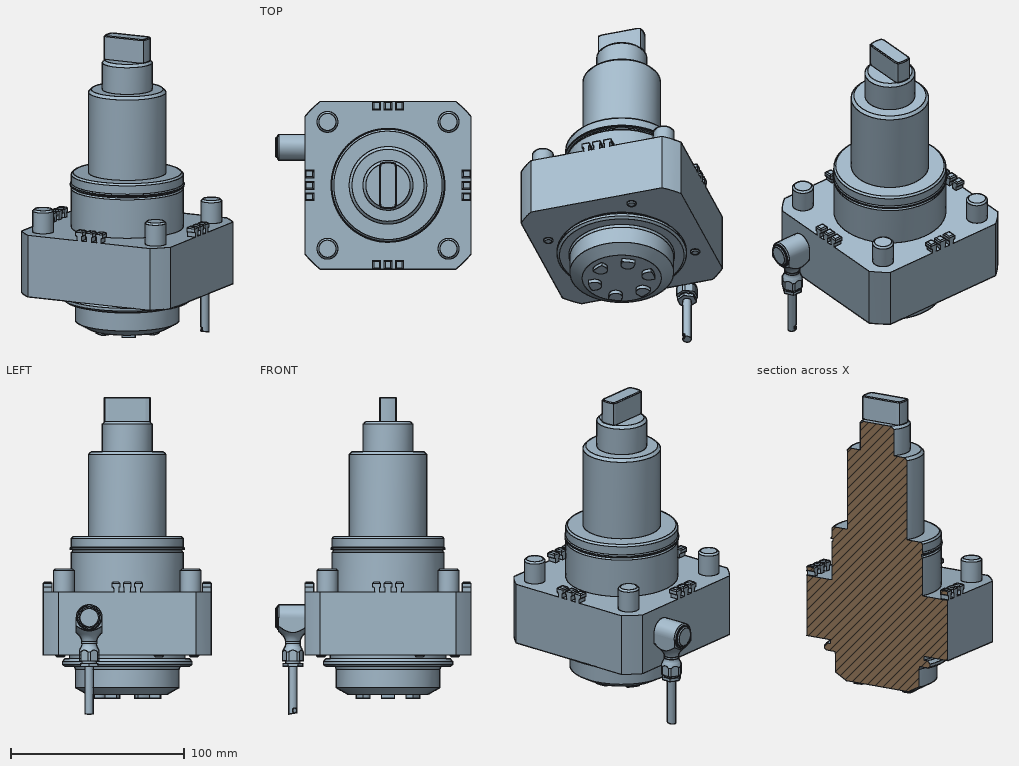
import cadquery as cq
import math


housing_x = 96.0
housing_y = 97.0
housing_height = 36.5
corner_diameter = 124.7

collar_top = 32.0
collar_diameter = 64.8
collar_chamfer = 1.1
sleeve_top = 81.1
sleeve_diameter = 44.9
shaft_top = 98.5
shaft_diameter = 29.0
shoulder_chamfer = 1.6
tang_top = 112.5
tang_width = 9.7
tang_length = 27.0
tang_flat_length = 21.6
tang_end_width = 8.6
tang_top_chamfer = 0.5

seal_top = 25.3
seal_slope_top = 26.0
seal_bottom = 24.5
seal_diameter = 66.0
groove_bottom = 23.6
groove_diameter = 63.4
groove_chamfer_bottom = 22.7

neck_diameter = 67.0
flange_top = -38.5
flange_bottom = -43.0
flange_diameter = 74.9
flange_edge_diameter = 72.0
flange_top_chamfer = 1.8
flange_bottom_chamfer = 1.1
nose_lip_diameter = 61.2
nose_lip_bottom = -44.7
nose_diameter = 60.0
nose_cone_top = -55.3
nose_bottom = -59.3
nose_end_diameter = 45.8

dog_count = 6
dog_width = 7.7
dog_height = 2.2
dog_round_radius = 16.3
dog_outer_diameter = 38.8

pin_x = 35.0
pin_y = 36.6
pin_diameter = 12.0
pin_height = 13.4
pin_chamfer = 1.1

screw_diameter = 5.5
screw_height = 1.1
screw_chamfer = 0.7
screw_spots = [(18.3, -38.6), (38.6, 18.3), (-18.3, 38.6), (-38.6, -18.3)]

key_width = 4.5
key_pitch = 6.6
key_depth = 5.1
key_height = 5.7
key_head_bottom = 3.0
key_small_inset = 0.5
key_large_inset = 1.1
key_chamfer = 0.7

cable_x = -55.0
cable_y = 22.0
elbow_z = -14.8
elbow_diameter = 15.0
elbow_end_x = -63.7
elbow_chamfer = 0.7
cap_diameter = 12.0
cap_length = 1.3
cap_chamfer = 0.7
elbow_half_length = 8.5
elbow_cone_tip = -24.7
elbow_cone_radius = 6.2
connector_neck_radius = 4.2
connector_ring_radius = 4.4
connector_ring_top = -28.5
connector_ring_bottom = -29.8
nut_top = -32.6
nut_top_radius = 5.1
nut_bottom = -39.7
nut_diameter = 12.0
nut_flats = 11.2
nut_chamfer_height = 2.0
washer_top = -41.2
washer_bottom = -43.0
washer_flats = 9.9
cable_diameter = 5.0
cable_bottom = tang_top - 183.1
cable_end_slant = 1.0
cable_hole_diameter = 3.0
cable_hole_depth = 1.0
cable_hole_height = 2.2
cable_hole_angle = -55.0


def rod(diameter, z_low, z_high):
    return cq.Workplane("XY").workplane(offset=z_low).circle(diameter / 2).extrude(z_high - z_low)


def make_housing():
    block = cq.Workplane("XY").box(housing_x, housing_y, housing_height, centered=(True, True, False))
    block = block.translate((0, 0, -housing_height))
    return block.intersect(rod(corner_diameter, -housing_height, 0))


def make_spindle():
    sleeve = rod(sleeve_diameter, 0, sleeve_top).faces(">Z").chamfer(shoulder_chamfer)
    shaft = rod(shaft_diameter, 0, shaft_top).faces(">Z").chamfer(shoulder_chamfer)
    collar_radius = collar_diameter / 2
    collar = (
        cq.Workplane("XZ")
        .moveTo(0, 0)
        .lineTo(collar_radius, 0)
        .lineTo(collar_radius, groove_chamfer_bottom)
        .lineTo(groove_diameter / 2, groove_bottom)
        .lineTo(groove_diameter / 2, seal_bottom)
        .lineTo(seal_diameter / 2, seal_bottom)
        .lineTo(seal_diameter / 2, seal_top)
        .lineTo(collar_radius, seal_slope_top)
        .lineTo(collar_radius, collar_top - collar_chamfer)
        .lineTo(collar_radius - collar_chamfer, collar_top)
        .lineTo(0, collar_top)
        .close()
        .revolve(360, (0, 0, 0), (0, 1, 0))
    )
    return collar.union(sleeve).union(shaft)


def make_tang():
    tip = tang_length / 2
    end_x = tang_end_width / 2
    end_y = math.sqrt(tip**2 - end_x**2)
    flat_x = tang_width / 2
    flat_y = tang_flat_length / 2
    tang = (
        cq.Workplane("XY")
        .workplane(offset=shaft_top)
        .moveTo(flat_x, -flat_y)
        .lineTo(flat_x, flat_y)
        .lineTo(end_x, end_y)
        .threePointArc((0, tip), (-end_x, end_y))
        .lineTo(-flat_x, flat_y)
        .lineTo(-flat_x, -flat_y)
        .lineTo(-end_x, -end_y)
        .threePointArc((0, -tip), (end_x, -end_y))
        .close()
    )
    return tang.extrude(tang_top - shaft_top).faces(">Z").chamfer(tang_top_chamfer)


def make_nose():
    return (
        cq.Workplane("XZ")
        .moveTo(0, -housing_height)
        .lineTo(neck_diameter / 2, -housing_height)
        .lineTo(neck_diameter / 2, flange_top)
        .lineTo(flange_edge_diameter / 2, flange_top)
        .lineTo(flange_diameter / 2, flange_top - flange_top_chamfer)
        .lineTo(flange_diameter / 2, flange_bottom + flange_bottom_chamfer)
        .lineTo(flange_edge_diameter / 2, flange_bottom)
        .lineTo(nose_lip_diameter / 2, flange_bottom)
        .lineTo(nose_diameter / 2, nose_lip_bottom)
        .lineTo(nose_diameter / 2, nose_cone_top)
        .lineTo(nose_end_diameter / 2, nose_bottom)
        .lineTo(0, nose_bottom)
        .close()
        .revolve(360, (0, 0, 0), (0, 1, 0))
    )


def make_dogs():
    base = nose_bottom - dog_height
    reach = dog_outer_diameter / 2 - dog_round_radius
    one = rod(dog_width, base, nose_bottom).translate((0, -dog_round_radius, 0))
    body = cq.Workplane("XY").box(dog_width, reach, dog_height, centered=(True, False, False))
    one = one.union(body.translate((0, -dog_round_radius - reach, base)))
    one = one.intersect(rod(dog_outer_diameter, base, nose_bottom))
    dogs = one
    for i in range(1, dog_count):
        dogs = dogs.union(one.rotate((0, 0, 0), (0, 0, 1), i * 360 / dog_count))
    return dogs


def make_pins():
    pins = cq.Workplane("XY").rect(2 * pin_x, 2 * pin_y, forConstruction=True).vertices()
    return pins.circle(pin_diameter / 2).extrude(pin_height).faces(">Z").chamfer(pin_chamfer)


def make_screws():
    heads = cq.Workplane("XY").workplane(offset=-housing_height).pushPoints(screw_spots)
    return heads.circle(screw_diameter / 2).extrude(-screw_height).faces("<Z").chamfer(screw_chamfer)


def make_key(left_inset, right_inset):
    half = key_width / 2
    bend = math.sqrt(0.5)
    key = (
        cq.Workplane("XZ")
        .moveTo(left_inset - half, 0)
        .lineTo(left_inset - half, key_head_bottom - left_inset)
        .threePointArc(
            (bend * left_inset - half, key_head_bottom - (1 - bend) * left_inset),
            (-half, key_head_bottom),
        )
        .lineTo(-half, key_height)
        .lineTo(half, key_height)
        .lineTo(half, key_head_bottom)
        .threePointArc(
            (half - bend * right_inset, key_head_bottom - (1 - bend) * right_inset),
            (half - right_inset, key_head_bottom - right_inset),
        )
        .lineTo(half - right_inset, 0)
        .close()
        .extrude(-key_depth)
    )
    return key.faces(">Z").chamfer(key_chamfer)


def make_key_row():
    row = make_key(key_small_inset, key_small_inset)
    row = row.union(make_key(key_large_inset, key_small_inset).translate((-key_pitch, 0, 0)))
    return row.union(make_key(key_small_inset, key_large_inset).translate((key_pitch, 0, 0)))


def make_keys():
    keys = cq.Workplane("XY")
    for i in range(4):
        edge = housing_y / 2 if i % 2 == 0 else housing_x / 2
        row = make_key_row().translate((0, -edge, 0))
        keys = keys.add(row.rotate((0, 0, 0), (0, 0, 1), 90 * i))
    return keys.combine()


def make_hexagon(flats, z_low, z_high):
    corners = flats / math.cos(math.pi / 6)
    return cq.Workplane("XY").workplane(offset=z_low).polygon(6, corners).extrude(z_high - z_low)


def make_elbow():
    radius = elbow_diameter / 2
    barrel = cq.Workplane("YZ").circle(radius).extrude(-elbow_end_x - housing_x / 2)
    barrel = barrel.faces("<X").chamfer(elbow_chamfer)
    cap = cq.Workplane("YZ").circle(cap_diameter / 2).extrude(-cap_length)
    barrel = barrel.union(cap.faces("<X").chamfer(cap_chamfer))
    barrel = barrel.translate((elbow_end_x - cable_x, 0, elbow_z))
    drop = elbow_z - connector_ring_top
    skirt = cq.Workplane("XY").box(2 * elbow_half_length, elbow_diameter, drop)
    skirt = skirt.translate((0, 0, elbow_z - drop / 2))
    cone_top_radius = elbow_cone_radius + elbow_z - elbow_cone_tip
    taper = (
        cq.Workplane("XZ")
        .moveTo(0, elbow_z)
        .lineTo(cone_top_radius, elbow_z)
        .lineTo(elbow_cone_radius, elbow_cone_tip)
        .tangentArcPoint((connector_neck_radius, connector_ring_top), relative=False)
        .lineTo(0, connector_ring_top)
        .close()
        .revolve(360, (0, 0, 0), (0, 1, 0))
    )
    return barrel.union(skirt.intersect(taper))


def make_nut():
    radius = nut_diameter / 2
    turned = (
        cq.Workplane("XZ")
        .moveTo(0, nut_top)
        .lineTo(nut_top_radius, nut_top)
        .lineTo(radius, nut_top - nut_chamfer_height)
        .lineTo(radius, nut_bottom)
        .lineTo(0, nut_bottom)
        .close()
        .revolve(360, (0, 0, 0), (0, 1, 0))
    )
    return turned.intersect(make_hexagon(nut_flats, nut_bottom, nut_top))


def make_neck():
    middle = (connector_neck_radius * 3 + nut_top_radius) / 4
    flare = (
        cq.Workplane("XZ")
        .moveTo(0, connector_ring_bottom)
        .lineTo(connector_neck_radius, connector_ring_bottom)
        .threePointArc((middle, (connector_ring_bottom + nut_top) / 2), (nut_top_radius, nut_top))
        .lineTo(0, nut_top)
        .close()
        .revolve(360, (0, 0, 0), (0, 1, 0))
    )
    ring = rod(2 * connector_ring_radius, connector_ring_bottom, connector_ring_top)
    return flare.union(ring).union(rod(2 * connector_neck_radius, washer_top, nut_bottom))


def make_cable():
    radius = cable_diameter / 2
    cable = (
        cq.Workplane("XZ", origin=(0, radius, 0))
        .moveTo(-radius, washer_bottom)
        .lineTo(-radius, cable_bottom)
        .lineTo(radius, cable_bottom + cable_end_slant)
        .lineTo(radius, washer_bottom)
        .close()
        .extrude(cable_diameter)
        .intersect(rod(cable_diameter, cable_bottom, washer_bottom))
    )
    hole = cq.Workplane("YZ").circle(cable_hole_diameter / 2).extrude(radius)
    hole = hole.translate((radius - cable_hole_depth, 0, cable_bottom + cable_hole_height))
    return cable.cut(hole.rotate((0, 0, 0), (0, 0, 1), cable_hole_angle))


def make_connector():
    connector = make_elbow().union(make_neck()).union(make_nut())
    connector = connector.union(make_hexagon(washer_flats, washer_bottom, washer_top))
    return connector.union(make_cable()).translate((cable_x, cable_y, 0))


result = make_housing()
for feature in (
    make_spindle(), make_tang(), make_nose(), make_dogs(),
    make_pins(), make_screws(), make_keys(), make_connector(),
):
    result = result.union(feature)